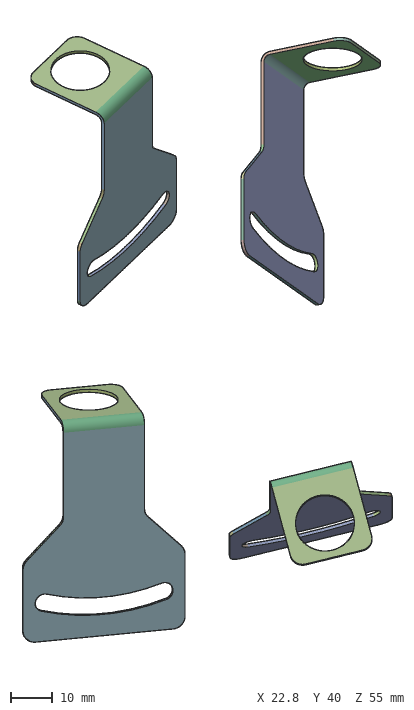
import cadquery as cq
import math

length_x = 22.8
plate_width = 40.0
height = 55.0
thickness = 0.8
bend_inner_radius = 1.6
bend_outer_radius = bend_inner_radius + thickness

neck_width = plate_width / 2
side_height = 20.0
shoulder_rise = (plate_width - neck_width) / 2
corner_radius = 3.0

hole_diameter = 14.0
hole_center_x = 8.8

slot_width = 4.4
slot_path_radius = 50.0
slot_half_span = 14.8
slot_lowest_z = 7.6


def make_folded_sheet():
    """L-shaped sheet, folded along Y, with its outer faces at X = length_x and Z = height."""
    outer = cq.Workplane("XY").box(length_x, plate_width, height, centered=(False, True, False))
    outer = outer.edges("|Y and >X and >Z").fillet(bend_outer_radius)
    inner = cq.Workplane("XY").box(
        length_x - thickness, plate_width, height - thickness, centered=(False, True, False)
    )
    inner = inner.edges("|Y and >X and >Z").fillet(bend_inner_radius)
    return outer.cut(inner)


def make_front_envelope():
    """Prism along X carrying the stepped outline of the upright plate."""
    half_plate = plate_width / 2
    half_neck = neck_width / 2
    shoulder_top = side_height + shoulder_rise
    outline = [
        (-half_plate, 0),
        (half_plate, 0),
        (half_plate, side_height),
        (half_neck, shoulder_top),
        (half_neck, height),
        (-half_neck, height),
        (-half_neck, shoulder_top),
        (-half_plate, side_height),
    ]
    prism = cq.Workplane("YZ").polyline(outline).close().extrude(length_x)
    below_top = cq.selectors.BoxSelector(
        (-0.55, -plate_width, -0.55), (length_x + 0.55, plate_width, shoulder_top + 0.55)
    )
    return prism.edges("|X").edges(below_top).fillet(corner_radius)


def make_slot_cutter():
    """Arc-shaped slot with round ends, extruded along X through the upright plate."""
    arc_center_z = slot_lowest_z + slot_path_radius
    half_angle = math.asin(slot_half_span / slot_path_radius)

    def arc_point(radius, angle):
        return (radius * math.sin(angle), arc_center_z - radius * math.cos(angle))

    def end_point(angle, side):
        y, z = arc_point(slot_path_radius, angle)
        return (
            y + side * slot_width / 2 * math.cos(angle),
            z + side * slot_width / 2 * math.sin(angle),
        )

    inner_radius = slot_path_radius - slot_width / 2
    outer_radius = slot_path_radius + slot_width / 2
    return (
        cq.Workplane("YZ")
        .moveTo(*arc_point(outer_radius, -half_angle))
        .threePointArc(arc_point(outer_radius, 0), arc_point(outer_radius, half_angle))
        .threePointArc(end_point(half_angle, 1), arc_point(inner_radius, half_angle))
        .threePointArc(arc_point(inner_radius, 0), arc_point(inner_radius, -half_angle))
        .threePointArc(end_point(-half_angle, -1), arc_point(outer_radius, -half_angle))
        .close()
        .extrude(length_x)
    )


def make_hole_cutter():
    """Vertical cylinder for the round hole in the flange."""
    return cq.Workplane("XY").center(hole_center_x, 0).circle(hole_diameter / 2).extrude(height)


bracket = make_folded_sheet().intersect(make_front_envelope())
bracket = bracket.edges("|Z and <X").fillet(corner_radius)
result = bracket.cut(make_slot_cutter()).cut(make_hole_cutter())